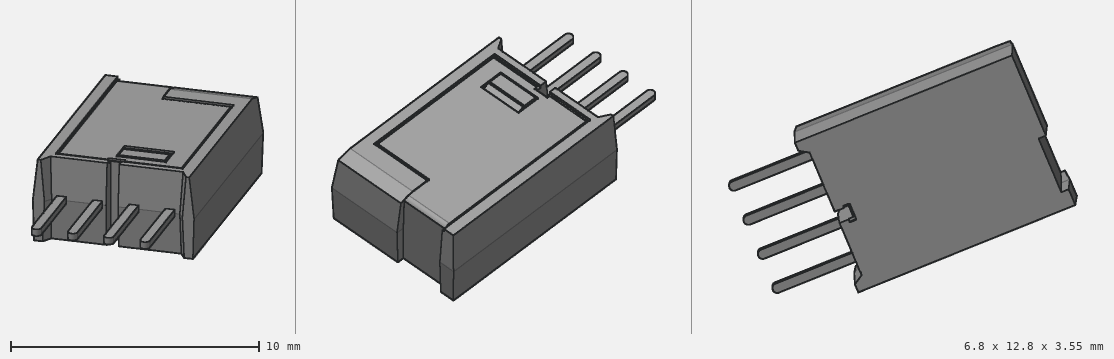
import cadquery as cq
import math

OVER = 0.13

body_width = 6.8
body_length = 9.51
body_height = 3.55
total_length = 12.8
top_z = 1.78
bottom_z = top_z - body_height
top_draft = 0.2
bottom_draft = 0.05

front_recess_sections = [
    (top_z, 3.06, 2.79, 0.47),
    (0.0, 2.9, 2.7, 0.32),
    (bottom_z, 2.98, 2.74, 0.4),
]

pin_count = 4
pin_pitch = 1.52
pin_width = 0.4
pin_thickness = 0.3
pin_tip_length = 0.17
pin_root_y = 1.25

lid_drop = 0.04
lid_top = top_z - lid_drop
lid_left = -2.59
lid_right = 2.59
lid_front = 0.95
lid_back = 9.14
lid_step_y = 7.68
step_x = -0.3
groove_left = -2.68
groove_right = 2.68
groove_front = 0.8
groove_back = 7.81
groove_depth = 0.13
lid_edge_length = 0.24
lid_edge_radius = 0.27

notch_draft = 0.05

slope_length = 0.65
slope_drop = 0.19

slot_left = -0.41
slot_right = 0.1
slot_end = 1.0
rim_left = -0.54
rim_right = 0.18
rim_end = 1.08

window_left = step_x
window_right = 1.8
window_front = 1.35
window_back = 2.5
window_gap = 0.08
pad_back = 2.06
pad_top = top_z


def box(x0, x1, y0, y1, z0, z1):
    return cq.Workplane("XY").box(x1 - x0, y1 - y0, z1 - z0, centered=False).translate((x0, y0, z0))


def loft_between(outline_a, z_a, outline_b, z_b):
    return (
        cq.Workplane("XY", origin=(0, 0, z_a)).polyline(outline_a).close()
        .workplane(offset=z_b - z_a).polyline(outline_b).close()
        .loft(ruled=True, combine=True)
    )


def along_x(profile, x0, x1):
    """Prism from a (y, z) profile, between two X positions."""
    return cq.Workplane("YZ", origin=(x0, 0, 0)).polyline(profile).close().extrude(x1 - x0)


def housing():
    def outline(draft):
        half = body_width / 2 - draft
        back = body_length - draft
        return [(-half, 0), (half, 0), (half, back), (-half, back)]

    upper = loft_between(outline(0), 0, outline(top_draft), top_z)
    lower = loft_between(outline(bottom_draft), bottom_z, outline(0), 0)
    return upper.union(lower)


def front_recess():
    def outline(mouth, floor, depth):
        return [(-mouth, -OVER), (mouth, -OVER), (mouth, 0), (floor, depth),
                (-floor, depth), (-mouth, 0)]

    top, middle, bottom = front_recess_sections
    upper = loft_between(outline(*middle[1:]), middle[0], outline(*top[1:]), top[0])
    lower = loft_between(outline(*bottom[1:]), bottom[0], outline(*middle[1:]), middle[0])
    return upper.union(lower)


def back_notch():
    wide_left = lid_left - notch_draft
    wide_right = step_x + notch_draft
    profile = [
        (wide_left, bottom_z - OVER), (wide_right, bottom_z - OVER),
        (wide_right, 0), (step_x, top_z), (lid_left, top_z), (wide_left, 0),
    ]
    notch_length = body_length - lid_back
    return (
        cq.Workplane("XZ", origin=(0, body_length, 0))
        .polyline(profile).close().extrude(notch_length)
    )


def lid_recess():
    """Space above the lid: the full width in front of the step, the notch side behind it."""
    z1 = top_z + OVER
    wide = box(groove_left, groove_right, groove_front, groove_back, lid_top, z1)
    narrow = box(groove_left, step_x, groove_front, body_length, lid_top, z1)
    return wide.union(narrow)


def lid_back_edge():
    """Waste above the rounded back edge of the lid, an arc that leaves the lid top smoothly."""
    start = lid_back - lid_edge_length
    center_z = lid_top - lid_edge_radius

    def arc_point(angle):
        return (start + lid_edge_radius * math.sin(angle), center_z + lid_edge_radius * math.cos(angle))

    end_angle = math.asin(lid_edge_length / lid_edge_radius)
    return (
        cq.Workplane("YZ", origin=(lid_left, 0, 0))
        .moveTo(start, lid_top)
        .threePointArc(arc_point(end_angle / 2), arc_point(end_angle))
        .lineTo(lid_back, lid_top).close().extrude(step_x - lid_left)
    )


def back_slope():
    end = body_length
    start = body_length - top_draft - slope_length
    slope = slope_drop / slope_length
    profile = [(start, top_z), (end, top_z - slope * (end - start)), (end, top_z)]
    return along_x(profile, step_x, body_width / 2)


def lid_groove():
    z0 = top_z - groove_depth
    z1 = top_z + OVER
    left = box(groove_left, lid_left, groove_front, body_length, z0, z1)
    right = box(lid_right, groove_right, groove_front, groove_back, z0, z1)
    front = box(groove_left, groove_right, groove_front, lid_front, z0, z1)
    back = box(step_x, groove_right, lid_step_y, groove_back, z0, z1)
    return left.union(right).union(front).union(back)


def slot():
    return box(slot_left, slot_right, -OVER, slot_end, bottom_z - OVER, top_z + OVER)


def slot_rims():
    upper = box(rim_left, rim_right, groove_front, rim_end, top_z - groove_depth, top_z + OVER)
    lower = box(rim_left, rim_right, groove_front, rim_end, bottom_z - OVER, bottom_z + groove_depth)
    return upper.union(lower)


def latch_window():
    return box(window_left, window_right, window_front, window_back,
               top_z - groove_depth, top_z + OVER)


def latch():
    """Flat pad and sloped catch standing on the window floor."""
    floor = top_z - groove_depth
    left = window_left + window_gap
    right = window_right - window_gap
    root = floor - OVER
    pad = box(left, right, window_front + window_gap, pad_back, root, pad_top)
    catch_front = pad_back + window_gap
    catch_back = window_back - window_gap
    profile = [(catch_front, root), (catch_front, pad_top), (catch_back, floor), (catch_back, root)]
    return pad.union(along_x(profile, left, right))


def pin(x):
    tip_y = body_length - total_length
    half = pin_width / 2
    middle_z = (top_z + bottom_z) / 2
    shoulder = tip_y + pin_tip_length
    return (
        cq.Workplane("XY", origin=(x, 0, middle_z - pin_thickness / 2))
        .moveTo(-half, pin_root_y).lineTo(-half, shoulder)
        .threePointArc((0, tip_y), (half, shoulder))
        .lineTo(half, pin_root_y).close().extrude(pin_thickness)
    )


result = housing()
for cutter in (front_recess(), back_notch(), lid_recess(), lid_back_edge(), back_slope(), lid_groove(),
               slot(), slot_rims(), latch_window()):
    result = result.cut(cutter)
result = result.union(latch())
for i in range(pin_count):
    result = result.union(pin((i - (pin_count - 1) / 2) * pin_pitch))